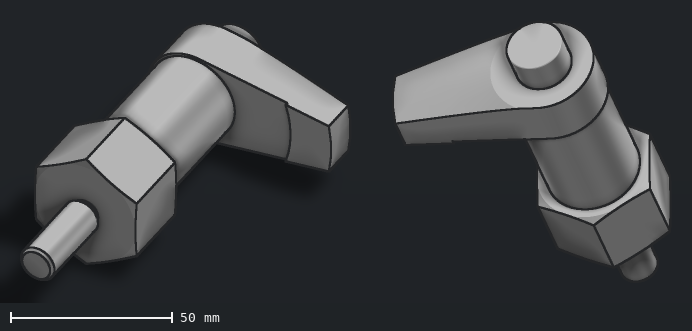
import cadquery as cq
import math


STEM_DIAMETER = 12.0
STEM_LENGTH = 30.0
STEM_TIP_CHAMFER = 1.0
NECK_DIAMETER = 9.4
NECK_LENGTH = 1.0
NECK_TAPER_LENGTH = (STEM_DIAMETER - NECK_DIAMETER) / 2

HEX_ACROSS_FLATS = 36.0
HEX_SIDES = 6
HEX_ACROSS_CORNERS = HEX_ACROSS_FLATS / math.cos(math.pi / HEX_SIDES)
HEX_LENGTH = 25.0
HEX_CHAMFER_ANGLE = 15.0

SLEEVE_DIAMETER = 30.0
SLEEVE_LENGTH = 41.0

HUB_RADIUS = 16.0
HUB_LENGTH = 17.0
ARM_TIP_RADIUS = 50.0
ARM_TIP_HALF_WIDTH = 9.0
GRIP_START_RADIUS = 35.5
GRIP_STEP = 1.0
SLOPE_START_RADIUS = 17.0
TIP_DROP = 6.0

BUTTON_DIAMETER = 18.0
BUTTON_LENGTH = 11.0
BUTTON_FILLET = 0.5

HEX_END = HEX_LENGTH
HUB_START = HEX_END + SLEEVE_LENGTH
HUB_END = HUB_START + HUB_LENGTH


def revolve_profile(points):
    """Revolve a closed (radius, y) outline about the Y axis."""
    return cq.Workplane("XY").polyline(points).close().revolve(360, (0, 0, 0), (0, 1, 0))


def make_stem():
    stem_radius = STEM_DIAMETER / 2
    neck_radius = NECK_DIAMETER / 2
    return revolve_profile([
        (0, 0),
        (neck_radius, 0),
        (neck_radius, -NECK_LENGTH),
        (stem_radius, -NECK_LENGTH - NECK_TAPER_LENGTH),
        (stem_radius, STEM_TIP_CHAMFER - STEM_LENGTH),
        (stem_radius - STEM_TIP_CHAMFER, -STEM_LENGTH),
        (0, -STEM_LENGTH),
    ])


def make_hexagon():
    """Hexagonal prism with corners on Z, its corners turned off at both ends."""
    flat_radius = HEX_ACROSS_FLATS / 2
    corner_radius = HEX_ACROSS_CORNERS / 2
    chamfer_length = (corner_radius - flat_radius) * math.tan(math.radians(HEX_CHAMFER_ANGLE))
    prism = (
        cq.Workplane("XZ")
        .transformed(rotate=(0, 0, 90))
        .polygon(HEX_SIDES, HEX_ACROSS_CORNERS)
        .extrude(-HEX_LENGTH)
    )
    envelope = revolve_profile([
        (0, 0),
        (flat_radius, 0),
        (corner_radius, chamfer_length),
        (corner_radius, HEX_END - chamfer_length),
        (flat_radius, HEX_END),
        (0, HEX_END),
    ])
    return prism.intersect(envelope)


def make_sleeve():
    return cq.Workplane("XZ", origin=(0, HEX_END, 0)).circle(SLEEVE_DIAMETER / 2).extrude(-SLEEVE_LENGTH)


def make_lever():
    """Tapered arm tangent to the hub, bounded by faces turned about the hub axis."""
    tip_x = math.sqrt(ARM_TIP_RADIUS**2 - ARM_TIP_HALF_WIDTH**2)
    taper = math.asin(HUB_RADIUS / ARM_TIP_RADIUS) - math.asin(ARM_TIP_HALF_WIDTH / ARM_TIP_RADIUS)
    tangent_x = HUB_RADIUS * math.sin(taper)
    tangent_z = HUB_RADIUS * math.cos(taper)
    blank_start = HUB_START - GRIP_STEP
    plan = (
        cq.Workplane("XZ", origin=(0, blank_start, 0))
        .moveTo(tangent_x, tangent_z)
        .lineTo(tip_x, ARM_TIP_HALF_WIDTH)
        .threePointArc((ARM_TIP_RADIUS, 0), (tip_x, -ARM_TIP_HALF_WIDTH))
        .lineTo(tangent_x, -tangent_z)
        .threePointArc((-HUB_RADIUS, 0), (tangent_x, tangent_z))
        .close()
        .extrude(blank_start - HUB_END)
    )
    envelope = revolve_profile([
        (0, HUB_START),
        (GRIP_START_RADIUS, HUB_START),
        (GRIP_START_RADIUS, blank_start),
        (ARM_TIP_RADIUS, blank_start),
        (ARM_TIP_RADIUS, HUB_END - TIP_DROP),
        (SLOPE_START_RADIUS, HUB_END),
        (0, HUB_END),
    ])
    return plan.intersect(envelope)


def make_button():
    return (
        cq.Workplane("XZ", origin=(0, HUB_END, 0))
        .circle(BUTTON_DIAMETER / 2)
        .extrude(-BUTTON_LENGTH)
        .faces(">Y")
        .fillet(BUTTON_FILLET)
    )


result = (
    make_stem()
    .union(make_hexagon())
    .union(make_sleeve())
    .union(make_lever())
    .union(make_button())
)